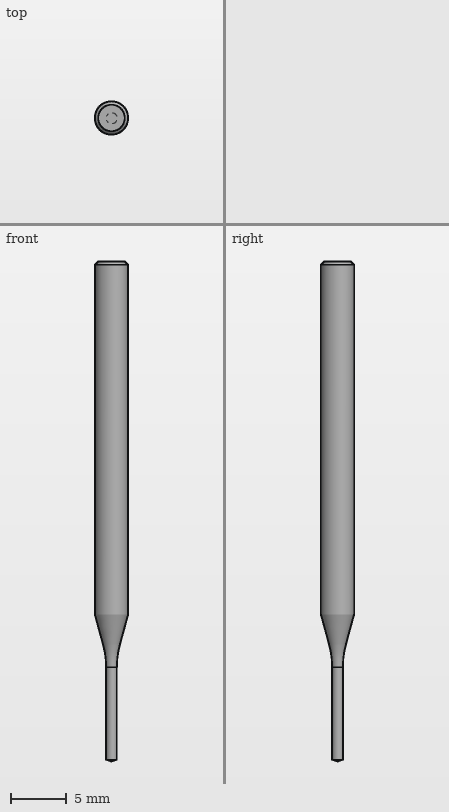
import cadquery as cq
import math

total_length = 45.0
shank_diameter = 3.0
cutter_diameter = 1.0

cutter_top = 8.5
neck_arc_top = 10.55

shank_chamfer = 0.3
tip_angle = 140.0
taper_half_angle = 15.3

shank_radius = shank_diameter / 2
cutter_radius = cutter_diameter / 2
tip_height = cutter_radius / math.tan(math.radians(tip_angle / 2))


def make_shank():
    """Chamfered cylinder whose lower end narrows through a cone and a concave arc."""
    lean = math.radians(taper_half_angle)
    arc_radius = (neck_arc_top - cutter_top) / math.sin(lean)
    neck_arc_top_radius = cutter_radius + arc_radius * (1 - math.cos(lean))
    arc_middle = (
        cutter_radius + arc_radius * (1 - math.cos(lean / 2)),
        cutter_top + arc_radius * math.sin(lean / 2),
    )
    shank_bottom = neck_arc_top + (shank_radius - neck_arc_top_radius) / math.tan(lean)
    return (
        cq.Workplane("XZ")
        .moveTo(0, cutter_top)
        .lineTo(cutter_radius, cutter_top)
        .threePointArc(arc_middle, (neck_arc_top_radius, neck_arc_top))
        .lineTo(shank_radius, shank_bottom)
        .lineTo(shank_radius, total_length - shank_chamfer)
        .lineTo(shank_radius - shank_chamfer, total_length)
        .lineTo(0, total_length)
        .close()
        .revolve(360, (0, 0), (0, 1))
    )


def make_cutter():
    """Thin round rod with a conical tip, butted against the small end of the shank."""
    return (
        cq.Workplane("XZ")
        .lineTo(cutter_radius, tip_height)
        .lineTo(cutter_radius, cutter_top)
        .lineTo(0, cutter_top)
        .close()
        .revolve(360, (0, 0), (0, 1))
    )


shank = make_shank()
cutter = make_cutter()

result = cq.Compound.makeCompound([shank.val(), cutter.val()])